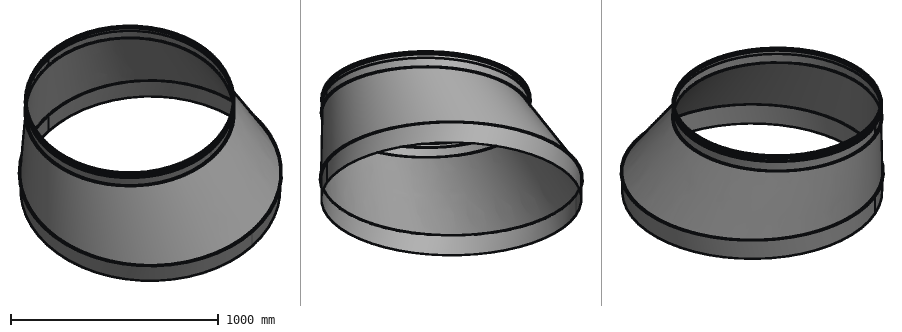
import cadquery as cq


total_height = 530.5
sheet = 0.5
lip_thickness = 1.0
skirt_height = 2.5
slit_width = 0.2

collar_outer_dia = 1251.25
collar_lip_dia = 1262.25
collar_height = 108.0

cone_base_outer_dia = 1253.25
cone_base_lip_dia = 1265.25
cone_top_outer_dia = 998.6
cone_top_lip_dia = 1011.9
cone_top_z = 445.0

neck_axis_x = (cone_top_outer_dia - cone_base_outer_dia) / 2

neck_outer_dia = 998.6
neck_lip_dia = 1008.6
spigot_outer_dia = 993.8
step_z = 494.0
step_height = 3.0
rim_dia = 998.6
rim_thickness = 3.0

seal_inner_dia = 995.0
seal_hub_dia = 997.6
seal_band_dia = 998.6
seal_fin_root_dia = 1001.6
seal_fin_dia = 1009.0
seal_bottom_z = 514.0
seal_fin_edge_height = 1.0
seal_fin_root_height = 5.0
seal_band_height = 9.0


def revolve_about(axis_x, profile):
    """Turn a closed (radius, z) profile about the vertical line at x = axis_x."""
    section = cq.Workplane("XZ").polyline(profile).close()
    return section.revolve(360, (0, 0, 0), (0, 1, 0)).translate((axis_x, 0, 0))


def make_collar():
    outer = collar_outer_dia / 2
    inner = outer - sheet
    lip = collar_lip_dia / 2
    shell = revolve_about(0, [
        (inner, 0),
        (outer, 0),
        (outer, collar_height - lip_thickness),
        (lip, collar_height - lip_thickness),
        (lip, collar_height),
        (inner, collar_height),
    ])
    return cut_slit(shell, 0, collar_outer_dia)


def oblique_frustum(base_dia, top_dia):
    height = cone_top_z - collar_height
    return (
        cq.Workplane("XY", origin=(0, 0, collar_height))
        .circle(base_dia / 2)
        .workplane(offset=height)
        .center(neck_axis_x, 0)
        .circle(top_dia / 2)
        .loft(ruled=True)
    )


def disc(axis_x, bottom_z, diameter, height):
    return cq.Workplane("XY", origin=(axis_x, 0, bottom_z)).circle(diameter / 2).extrude(height)


def cut_slit(rolled_sheet, axis_x, outer_dia):
    """Open the butt joint of a rolled sheet on its -X side."""
    cutter = (
        cq.Workplane("XY")
        .center(axis_x - outer_dia / 2, 0)
        .rect(outer_dia / 2, slit_width)
        .extrude(total_height)
    )
    return rolled_sheet.cut(cutter)


def make_cone():
    outside = (
        oblique_frustum(cone_base_outer_dia, cone_top_outer_dia)
        .union(disc(0, collar_height + lip_thickness - skirt_height, cone_base_lip_dia, skirt_height))
        .union(disc(neck_axis_x, cone_top_z - lip_thickness, cone_top_lip_dia, skirt_height))
    )
    collar_socket = disc(0, collar_height - skirt_height, collar_lip_dia, skirt_height)
    neck_socket = disc(neck_axis_x, cone_top_z, neck_lip_dia, skirt_height)
    inside = oblique_frustum(cone_base_outer_dia - 2 * sheet, cone_top_outer_dia - 2 * sheet)
    return outside.cut(inside).cut(collar_socket).cut(neck_socket)


def make_neck():
    outer = neck_outer_dia / 2
    lip = neck_lip_dia / 2
    spigot = spigot_outer_dia / 2
    rim = rim_dia / 2
    step_top_z = step_z + step_height
    shell = revolve_about(neck_axis_x, [
        (outer - sheet, cone_top_z),
        (lip, cone_top_z),
        (lip, cone_top_z + lip_thickness),
        (outer, cone_top_z + lip_thickness),
        (outer, step_z),
        (spigot, step_top_z),
        (spigot, total_height - rim_thickness),
        (rim, total_height - rim_thickness),
        (rim, total_height),
        (spigot - sheet, total_height),
        (spigot - sheet, step_top_z),
        (outer - sheet, step_z),
    ])
    return cut_slit(shell, neck_axis_x, neck_outer_dia)


def make_seal():
    inner = seal_inner_dia / 2
    hub = seal_hub_dia / 2
    band = seal_band_dia / 2
    fin_root = seal_fin_root_dia / 2
    fin = seal_fin_dia / 2
    fin_top_z = seal_bottom_z + seal_fin_root_height
    band_top_z = seal_bottom_z + seal_band_height
    seal_top_z = total_height - rim_thickness
    return revolve_about(neck_axis_x, [
        (inner, seal_bottom_z),
        (fin, seal_bottom_z),
        (fin, seal_bottom_z + seal_fin_edge_height),
        (fin_root, fin_top_z),
        (band, fin_top_z),
        (band, band_top_z),
        (hub, band_top_z),
        (hub, seal_top_z),
        (inner, seal_top_z),
    ])


collar = make_collar()
cone = make_cone()
neck = make_neck()
seal = make_seal()

result = cq.Compound.makeCompound([collar.val(), cone.val(), neck.val(), seal.val()])